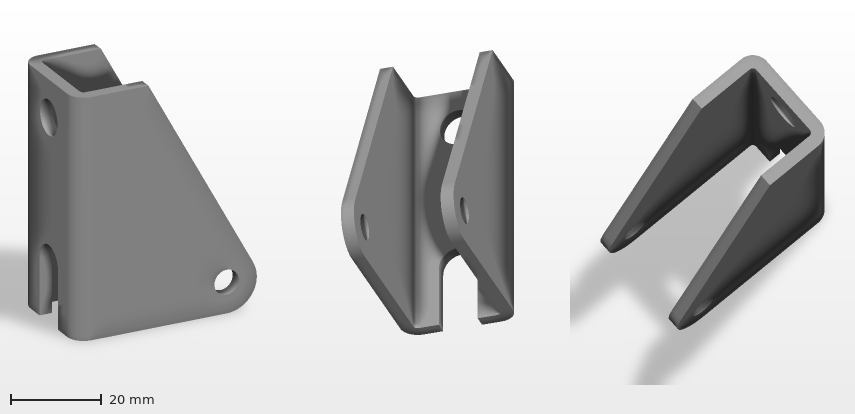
import cadquery as cq
import math

width = 26.2
depth = 44.7
height = 58.2

thickness = 3.0
outer_bend_radius = 4.0
inner_bend_radius = outer_bend_radius - thickness

top_depth = 18.0
pivot_radius = 7.45
pivot_hole_diameter = 6.0
pivot_y = depth - pivot_radius
pivot_z = pivot_radius

web_hole_diameter = 8.5
web_hole_z = 49.05
slot_width = 9.0
slot_height = 18.55


def rounded_block(block_width, front_y, corner_radius):
    """Full-height block from front_y to the back, with rounded front vertical edges."""
    block = cq.Workplane("XY").box(block_width, depth - front_y, height, centered=(True, False, False))
    return block.edges("|Z and <Y").fillet(corner_radius).translate((0, front_y, 0))


def pivot_point(angle):
    """Point on the rounded pivot end at an angle measured from +Y towards +Z."""
    return (pivot_y + pivot_radius * math.cos(angle), pivot_z + pivot_radius * math.sin(angle))


def side_profile():
    """Flange outline whose sloping edge is tangent to the rounded pivot end."""
    run = top_depth - pivot_y
    rise = height - pivot_z
    tangent_angle = math.atan2(rise, run) - math.acos(pivot_radius / math.hypot(run, rise))
    bottom_angle = -math.pi / 2
    middle_angle = (tangent_angle + bottom_angle) / 2
    return (
        cq.Workplane("YZ")
        .moveTo(0, 0)
        .lineTo(*pivot_point(bottom_angle))
        .threePointArc(pivot_point(middle_angle), pivot_point(tangent_angle))
        .lineTo(top_depth, height)
        .lineTo(0, height)
        .close()
        .extrude(width / 2, both=True)
    )


def web_cylinder(diameter, z):
    """Cutter along Y that passes through the front web only."""
    return cq.Workplane("XZ", origin=(0, 0, z)).circle(diameter / 2).extrude(-2 * thickness)


def web_slot():
    """Round-topped slot cutter, open at the bottom of the front web."""
    arc_center_z = slot_height - slot_width / 2
    straight = cq.Workplane("XY").box(slot_width, 2 * thickness, arc_center_z, centered=(True, False, False))
    return straight.union(web_cylinder(slot_width, arc_center_z))


def pivot_holes():
    """Cutter along X through both flanges."""
    return (
        cq.Workplane("YZ", origin=(0, pivot_y, pivot_z))
        .circle(pivot_hole_diameter / 2)
        .extrude(width, both=True)
    )


outer = rounded_block(width, 0, outer_bend_radius)
inner = rounded_block(width - 2 * thickness, thickness, inner_bend_radius)
bracket = outer.cut(inner).intersect(side_profile())

bracket = bracket.cut(web_cylinder(web_hole_diameter, web_hole_z))
bracket = bracket.cut(web_slot())
result = bracket.cut(pivot_holes())